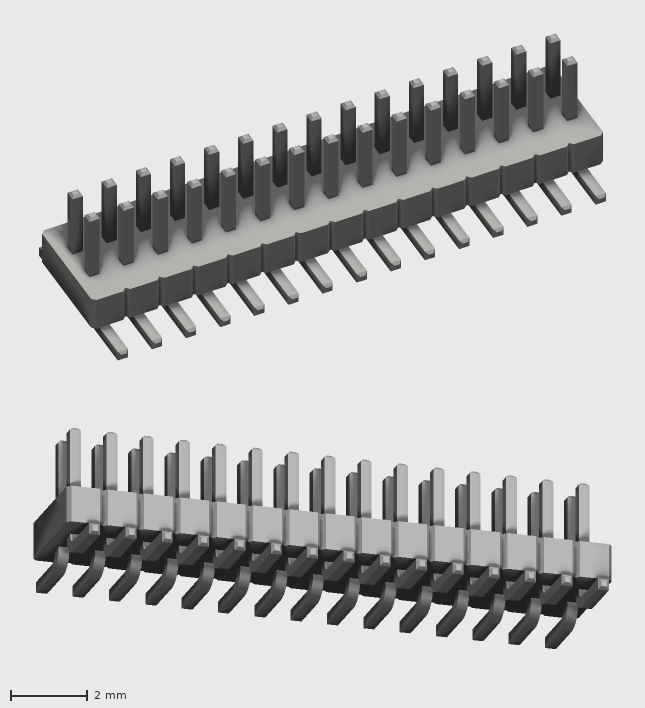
import cadquery as cq

row_count = 15
body_length = 15.0
body_width = 3.1
overall_width = 4.8
overall_height = 3.6
standoff = 0.6
corner_chamfer = 0.1
pin_size = 0.3
tip_taper = 0.08

pitch = body_length / row_count
body_height = pitch
bend_inner_radius = standoff - pin_size
bend_outer_radius = standoff
pin_inner_x = (pitch - pin_size) / 2
pin_outer_x = (pitch + pin_size) / 2
bend_center_x = pin_outer_x + bend_inner_radius
foot_end_x = overall_width / 2
row_positions = [(row - (row_count - 1) / 2) * pitch for row in range(row_count)]


def body_segment(y):
    """One insulator block with chamfered vertical corners, resting on the standoff height."""
    return (
        cq.Workplane("XY")
        .box(body_width, pitch, body_height, centered=(True, True, False))
        .edges("|Z")
        .chamfer(corner_chamfer)
        .translate((0, y, standoff))
    )


def bent_pin():
    """Upright square pin bent outward into a foot toward +X, centred on Y = 0."""
    diagonal = 0.5 ** 0.5
    outer_mid = (bend_center_x - bend_outer_radius * diagonal, standoff - bend_outer_radius * diagonal)
    inner_mid = (bend_center_x - bend_inner_radius * diagonal, standoff - bend_inner_radius * diagonal)
    return (
        cq.Workplane("XZ")
        .moveTo(pin_inner_x, overall_height)
        .lineTo(pin_inner_x, standoff)
        .threePointArc(outer_mid, (bend_center_x, 0))
        .lineTo(foot_end_x, 0)
        .lineTo(foot_end_x, pin_size)
        .lineTo(bend_center_x, pin_size)
        .threePointArc(inner_mid, (pin_outer_x, standoff))
        .lineTo(pin_outer_x, overall_height)
        .close()
        .extrude(pin_size / 2, both=True)
        .faces(">Z or >X")
        .chamfer(tip_taper)
    )


body = body_segment(row_positions[0])
for row_y in row_positions[1:]:
    body = body.union(body_segment(row_y))

right_pin = bent_pin()
left_pin = right_pin.mirror("YZ")
result = body
for row_y in row_positions:
    for pin in (right_pin, left_pin):
        result = result.union(pin.translate((0, row_y, 0)))